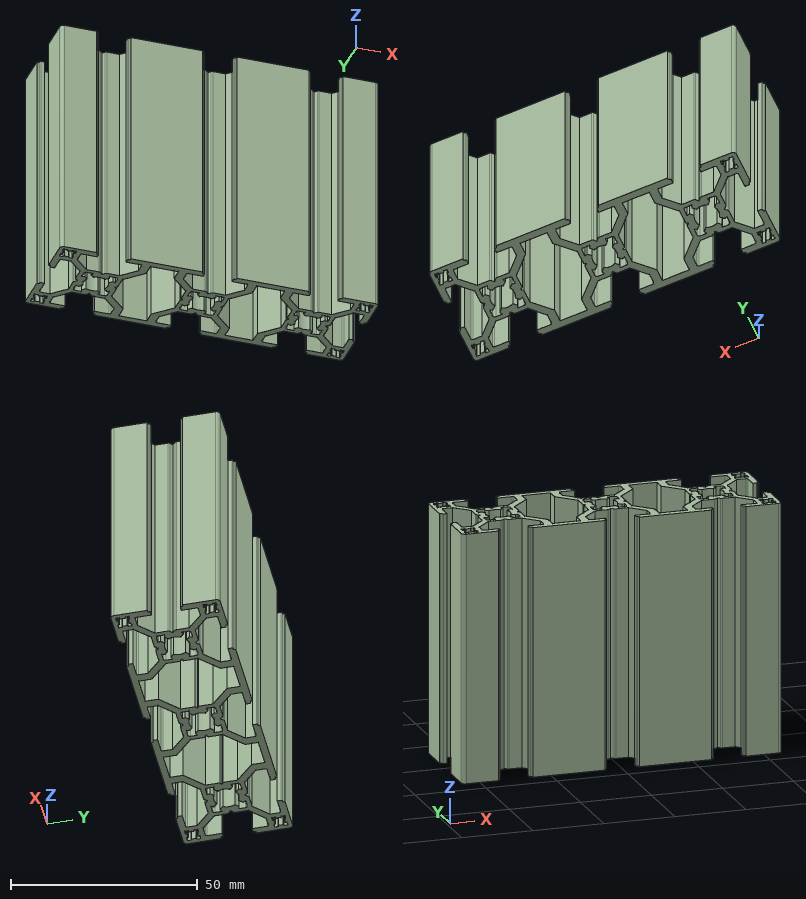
import cadquery as cq

total_width = 90.0
length = 70.0
cell_count = 3
cell = total_width / cell_count
half_cell = cell / 2
cell_centres = [(i - (cell_count - 1) / 2) * cell for i in range(cell_count)]
chamber_centres = [(a + b) / 2 for a, b in zip(cell_centres, cell_centres[1:])]
outer_corner_radius = 1.1

slot_opening = 8.2
lip_half_opening = slot_opening / 2
lip_thickness = 2.0
lip_step_width = 0.7
lip_step_depth = 0.6
lip_step_radius = 0.3
lip_tip_radius = 0.3
slot_half_width = 8.6
slot_corner_radius = 0.45
core_half = 6.0
slot_web_offset = 1.35
floor_groove_half_width = 0.855
floor_groove_depth = 0.9
floor_groove_rim_radius = 0.6

chamber_neck_half_width = 4.0
chamber_web_offset = 1.6
chamber_groove_half_width = 0.45
chamber_groove_depth = 0.6

core_bore_radius = 3.4
core_lobe_outer = 4.8
core_lobe_side = 2.3
core_pad_corner = (2.6, 4.0)
core_lobe_corner_radius = 0.6

corner_bore_inset = 3.1
corner_bore_radius = 1.4
corner_lobe_outer = 1.8
corner_lobe_side = 0.8
corner_pad_corner = (0.8, 1.5)


def prism(points):
    return cq.Workplane("XY").polyline(points).close().extrude(length)


def mirrored(half_points):
    """Complete a half outline with its reflection about the Y axis."""
    return half_points + [(-x, y) for x, y in reversed(half_points)]


def turned(shape, angle):
    return shape.rotate((0, 0, 0), (0, 0, 1), angle)


def fillet_at(shape, x, y, radius):
    """Round the lengthwise edge that passes through the point (x, y)."""
    reach = 0.045
    box = cq.selectors.BoxSelector((x - reach, y - reach, 0), (x + reach, y + reach, length))
    return shape.edges("|Z").edges(box).fillet(radius)


def slot_cutter():
    """T-slot of a cell centred on the origin, open toward +Y."""
    ceiling = half_cell - lip_thickness
    step_bottom = half_cell - lip_step_depth
    step_side = lip_half_opening + lip_step_width
    right_side = [
        (floor_groove_half_width, core_half),
        (core_half - slot_web_offset, core_half),
        (slot_half_width, slot_half_width + slot_web_offset),
        (slot_half_width, ceiling),
        (lip_half_opening, ceiling),
        (lip_half_opening, step_bottom),
        (step_side, step_bottom),
        (step_side, half_cell),
    ]
    groove_tip = (0, core_half - floor_groove_depth)
    cutter = prism(mirrored(right_side) + [groove_tip])
    for side in (-1, 1):
        cutter = fillet_at(cutter, side * floor_groove_half_width, core_half, floor_groove_rim_radius)
        cutter = fillet_at(cutter, side * slot_half_width, ceiling, slot_corner_radius)
        cutter = fillet_at(cutter, side * step_side, step_bottom, lip_step_radius)
        cutter = fillet_at(cutter, side * lip_half_opening, step_bottom, lip_tip_radius)
    return cutter


def chamber_cutter():
    """Closed chamber centred on the origin, with a small V groove in each side wall."""
    side = half_cell - core_half
    side_bend = core_half - chamber_web_offset
    neck_bend = side_bend + side - chamber_neck_half_width
    outline = mirrored([
        (side + chamber_groove_depth, 0),
        (side, chamber_groove_half_width),
        (side, side_bend),
        (chamber_neck_half_width, neck_bend),
        (chamber_neck_half_width, half_cell - lip_thickness),
    ])
    lower = [(x, -y) for x, y in reversed(outline[1:-1])]
    return prism(outline + lower)


def lobed_bore(radius, lobe_outer, lobe_side, pad_corner, lobe_corner_radius=0):
    """Round bore with a lobe on each diagonal, reached through a diagonal channel."""
    pad_x, pad_y = pad_corner
    channel_offset = pad_y - pad_x
    lobe = prism([
        (0, 0),
        (channel_offset, 0),
        (pad_y, pad_x),
        (lobe_outer, lobe_side),
        (lobe_outer, lobe_outer),
        (lobe_side, lobe_outer),
        (pad_x, pad_y),
        (0, channel_offset),
    ])
    if lobe_corner_radius:
        lobe = fillet_at(lobe, lobe_outer, lobe_outer, lobe_corner_radius)
    bore = cq.Workplane("XY").circle(radius).extrude(length)
    for angle in (0, 90, 180, 270):
        bore = bore.union(turned(lobe, angle))
    return bore


body = cq.Workplane("XY").rect(total_width, cell).extrude(length)
body = body.edges("|Z").fillet(outer_corner_radius)

slot = slot_cutter()
slot_places = [(x, angle) for x in cell_centres for angle in (0, 180)]
slot_places += [(cell_centres[0], 90), (cell_centres[-1], -90)]
for x, angle in slot_places:
    body = body.cut(turned(slot, angle).translate((x, 0, 0)))

core_bore = lobed_bore(
    core_bore_radius, core_lobe_outer, core_lobe_side, core_pad_corner, core_lobe_corner_radius)
for x in cell_centres:
    body = body.cut(core_bore.translate((x, 0, 0)))

chamber = chamber_cutter()
for x in chamber_centres:
    body = body.cut(chamber.translate((x, 0, 0)))

corner_bore = lobed_bore(
    corner_bore_radius, corner_lobe_outer, corner_lobe_side, corner_pad_corner)
corner_x = total_width / 2 - corner_bore_inset
corner_y = half_cell - corner_bore_inset
for x in (-corner_x, corner_x):
    for y in (-corner_y, corner_y):
        body = body.cut(corner_bore.translate((x, y, 0)))

result = body